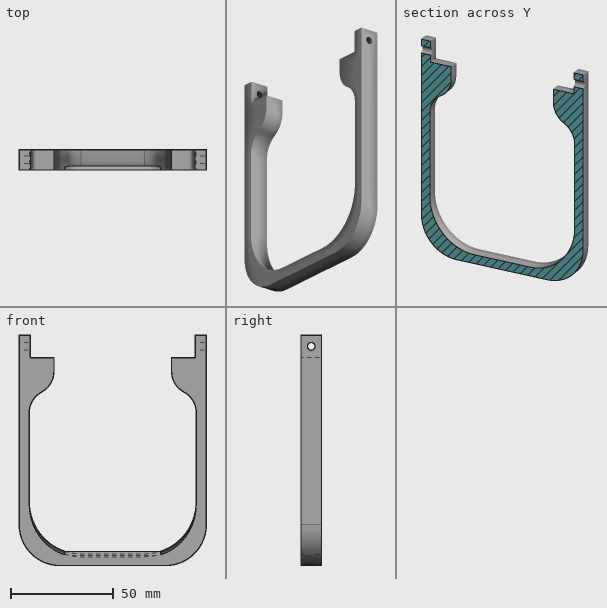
import cadquery as cq
import math

WIDTH = 91.0
DEPTH = 10.0
HEIGHT = 112.0
HALF_WIDTH = WIDTH / 2
BACK_Y = DEPTH / 2
FRONT_Y = -BACK_Y

ARM_THICKNESS = 5.0
OUTER_RADIUS = 20.0
INNER_RADIUS = 25.0
FLOOR_FRONT_Z = 4.0
FLOOR_DRAFT = 10.0
FLOOR_BACK_Z = FLOOR_FRONT_Z + DEPTH * math.tan(math.radians(FLOOR_DRAFT))
INNER_HALF_WIDTH = HALF_WIDTH - ARM_THICKNESS

TAB_THICKNESS = 5.5
TAB_HEIGHT = 11.0
SHELF_TOP_Z = HEIGHT - TAB_HEIGHT
SHELF_HALF_GAP = 28.5
SHELF_EDGE_HEIGHT = 6.7
BLEND_HEIGHT = 20.0

HOLE_DIAMETER = 3.6
HOLE_Z = HEIGHT - TAB_HEIGHT / 2

LIP_TOP_LENGTH = 46.0
LIP_END_LEAN = 18.0
LIP_DEPTH = 2.0
LIP_TOP_Z = 7.0
LIP_SLOPE = 45.0


def make_outer_block():
    """Solid block with the two lower corners rounded."""
    block = cq.Workplane("XY").box(WIDTH, DEPTH, HEIGHT, centered=(True, True, False))
    return block.edges("|Y and <Z").fillet(OUTER_RADIUS)


def make_opening():
    """Inner opening between the arms, with a floor that rises from front to back."""
    side_profile = [
        (FRONT_Y, FLOOR_FRONT_Z),
        (BACK_Y, FLOOR_BACK_Z),
        (BACK_Y, HEIGHT),
        (FRONT_Y, HEIGHT),
    ]
    opening = (
        cq.Workplane("YZ")
        .polyline(side_profile)
        .close()
        .extrude(INNER_HALF_WIDTH, both=True)
    )
    floor_corners = cq.selectors.BoxSelector(
        (-WIDTH, -DEPTH, 0), (WIDTH, DEPTH, INNER_RADIUS)
    )
    return opening.edges("not |X").edges(floor_corners).fillet(INNER_RADIUS)


def make_shelf():
    """Shelf on the left arm, with an S-shaped underside that runs into the arm."""
    upper_z = SHELF_TOP_Z - SHELF_EDGE_HEIGHT
    lower_z = upper_z - BLEND_HEIGHT
    middle = (-(INNER_HALF_WIDTH + SHELF_HALF_GAP) / 2, (upper_z + lower_z) / 2)
    return (
        cq.Workplane("XZ", origin=(0, BACK_Y, 0))
        .moveTo(-HALF_WIDTH, SHELF_TOP_Z)
        .lineTo(-SHELF_HALF_GAP, SHELF_TOP_Z)
        .lineTo(-SHELF_HALF_GAP, upper_z)
        .tangentArcPoint(middle, relative=False)
        .tangentArcPoint((-INNER_HALF_WIDTH, lower_z), relative=False)
        .lineTo(-HALF_WIDTH, lower_z)
        .close()
        .extrude(DEPTH)
    )


def make_tab():
    """Upright tab above the left shelf, slightly thicker than the arm."""
    return cq.Workplane("XY").box(
        TAB_THICKNESS, DEPTH, TAB_HEIGHT, centered=(False, True, False)
    ).translate((-HALF_WIDTH, 0, SHELF_TOP_Z))


def make_lip():
    """Lip on the front of the floor, with leaning ends and a top sloping down toward the back."""
    lip_back_y = FRONT_Y + LIP_DEPTH
    lip_back_z = LIP_TOP_Z - LIP_DEPTH * math.tan(math.radians(LIP_SLOPE))
    base_z = FLOOR_FRONT_Z / 2
    top_half = LIP_TOP_LENGTH / 2
    base_half = top_half + (LIP_TOP_Z - base_z) * math.tan(math.radians(LIP_END_LEAN))
    front_outline = [(-base_half, base_z), (-top_half, LIP_TOP_Z), (top_half, LIP_TOP_Z), (base_half, base_z)]
    side_outline = [(FRONT_Y, base_z), (FRONT_Y, LIP_TOP_Z), (lip_back_y, lip_back_z), (lip_back_y, base_z)]
    bar = cq.Workplane("XZ").polyline(front_outline).close().extrude(DEPTH / 2)
    wedge = cq.Workplane("YZ").polyline(side_outline).close().extrude(HALF_WIDTH, both=True)
    return bar.intersect(wedge)


def make_holes():
    """Cylinder that cuts the hole through both tabs."""
    return (
        cq.Workplane("YZ")
        .center(0, HOLE_Z)
        .circle(HOLE_DIAMETER / 2)
        .extrude(HALF_WIDTH, both=True)
    )


frame = make_outer_block().cut(make_opening())
for feature in (make_shelf(), make_tab()):
    frame = frame.union(feature).union(feature.mirror("YZ"))

result = frame.union(make_lip()).cut(make_holes())